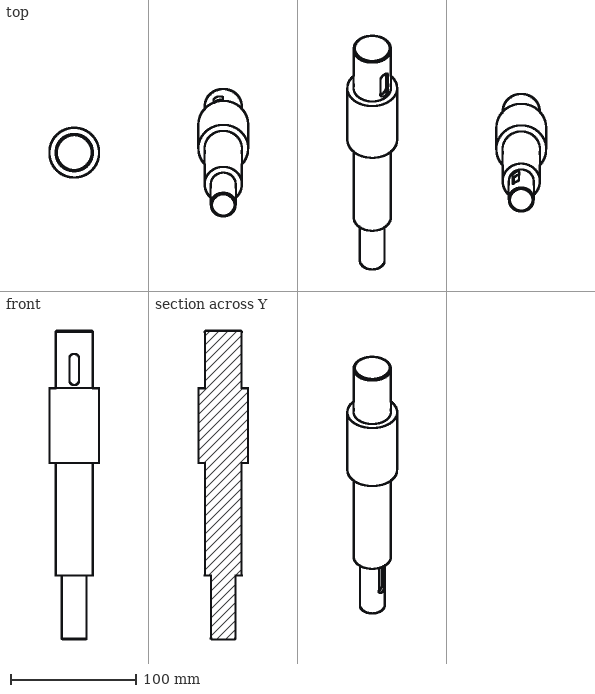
import cadquery as cq

total_length = 247.0
collar_diameter = 40.0
journal_diameter = 30.0
tail_diameter = 20.0

tail_length = 51.1
middle_length = 90.0
collar_length = 60.0
end_chamfer = 1.0

middle_base = tail_length
collar_base = middle_base + middle_length
head_base = collar_base + collar_length
head_length = total_length - head_base

head_key_length = 25.0
head_key_width = 8.0
head_key_depth = 3.0
head_key_gap = 2.5
tail_key_length = 28.0
tail_key_width = 6.0
tail_key_depth = 3.0
tail_key_gap = 3.5


def step(diameter, base, length):
    """Solid cylinder of the shaft, starting at height base."""
    return cq.Workplane("XY").workplane(offset=base).circle(diameter / 2).extrude(length)


def keyway_cutter(diameter, length, width, depth, center_z, side):
    """Round-ended slot cutter with a flat floor; side is -1 for -Y and +1 for +Y."""
    floor_y = side * (diameter / 2 - depth)
    return (
        cq.Workplane("XZ", origin=(0, floor_y, center_z))
        .slot2D(length, width, angle=90)
        .extrude(-side * diameter / 2)
    )


tail = step(tail_diameter, 0, tail_length).faces("<Z").chamfer(end_chamfer)
middle = step(journal_diameter, middle_base, middle_length)
collar = step(collar_diameter, collar_base, collar_length)
head = step(journal_diameter, head_base, head_length).faces(">Z").chamfer(end_chamfer)

head_key_z = head_base + head_key_gap + head_key_length / 2
head_keyway = keyway_cutter(
    journal_diameter, head_key_length, head_key_width, head_key_depth, head_key_z, -1
)
head = head.cut(head_keyway)

tail_key_z = middle_base - tail_key_gap - tail_key_length / 2
tail_keyway = keyway_cutter(
    tail_diameter, tail_key_length, tail_key_width, tail_key_depth, tail_key_z, 1
)
tail = tail.cut(tail_keyway)

result = tail.union(middle).union(collar).union(head)